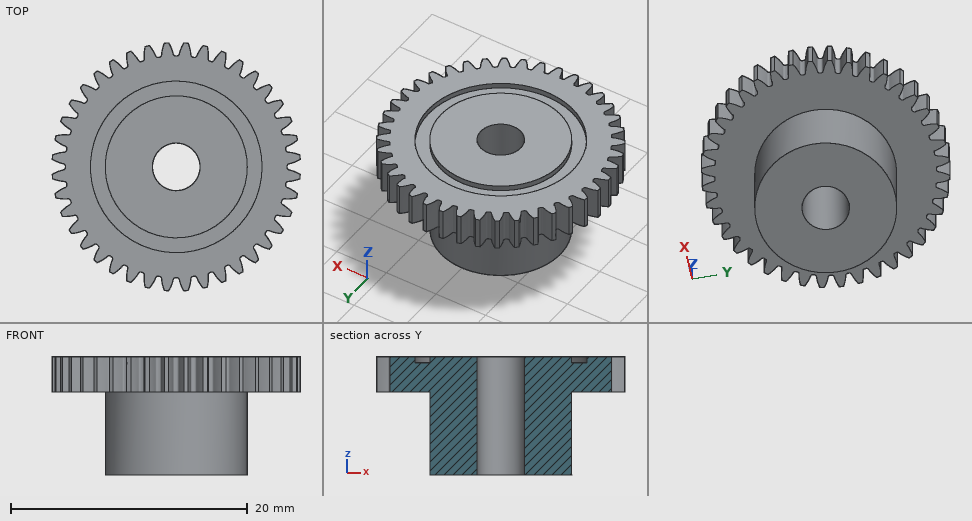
import cadquery as cq
import math

module = 0.5
tooth_count = 40
pressure_angle = math.radians(20)
addendum = module
dedendum = 1.25 * module
root_fillet = 0.38 * module
gear_thickness = 3.0
flank_points = 6

hub_diameter = 12.0
hub_length = 7.0
bore_diameter = 4.0
groove_outer_diameter = 14.5
groove_depth = 0.5

total_height = hub_length + gear_thickness

pitch_radius = module * tooth_count / 2
base_radius = pitch_radius * math.cos(pressure_angle)
tip_radius = pitch_radius + addendum
root_radius = pitch_radius - dedendum
tooth_pitch = 2 * math.pi / tooth_count


def involute_angle(angle):
    """Polar angle an involute has swept where its pressure angle is `angle`."""
    return math.tan(angle) - angle


base_half_angle = tooth_pitch / 4 + involute_angle(pressure_angle)


def angle_at_radius(radius):
    """Half the tooth angle at a radius on the involute."""
    return base_half_angle - involute_angle(math.acos(base_radius / radius))


def polar(radius, angle):
    """X and Y of a point given by radius and angle."""
    return (radius * math.cos(angle), radius * math.sin(angle))


fillet_centre_radius = root_radius + root_fillet
fillet_centre_angle = angle_at_radius(fillet_centre_radius) + root_fillet / base_radius
flank_start_length = math.sqrt(fillet_centre_radius**2 - base_radius**2) - root_fillet
flank_start_radius = math.hypot(base_radius, flank_start_length)


def fillet_middle():
    """Radius and angle of the point halfway along the root fillet."""
    centre_x, centre_y = polar(fillet_centre_radius, fillet_centre_angle)
    flank_x, flank_y = polar(flank_start_radius, angle_at_radius(flank_start_radius))
    flank_direction = math.atan2(flank_y - centre_y, flank_x - centre_x)
    root_direction = fillet_centre_angle - math.pi
    direction = (flank_direction + root_direction) / 2
    x = centre_x + root_fillet * math.cos(direction)
    y = centre_y + root_fillet * math.sin(direction)
    return math.hypot(x, y), math.atan2(y, x)


def gear_blank():
    """Toothed disc, solid through its middle, with a tooth gap on the X axis."""
    middle_radius, middle_angle = fillet_middle()
    radius_step = (tip_radius - flank_start_radius) / (flank_points - 1)
    flank_radii = [flank_start_radius + i * radius_step for i in range(flank_points)]

    outline = cq.Workplane("XY", origin=(0, 0, hub_length))
    outline = outline.moveTo(*polar(root_radius, 0))
    for tooth in range(tooth_count):
        centre = (tooth + 0.5) * tooth_pitch
        gap_before = centre - tooth_pitch / 2
        gap_after = centre + tooth_pitch / 2
        root_before = centre - fillet_centre_angle
        root_after = centre + fillet_centre_angle
        rising = [polar(r, centre - angle_at_radius(r)) for r in flank_radii]
        falling = [polar(r, centre + angle_at_radius(r)) for r in reversed(flank_radii)]

        outline = outline.threePointArc(
            polar(root_radius, (gap_before + root_before) / 2), polar(root_radius, root_before)
        )
        outline = outline.threePointArc(polar(middle_radius, centre - middle_angle), rising[0])
        outline = outline.spline(rising[1:], includeCurrent=True)
        outline = outline.threePointArc(polar(tip_radius, centre), falling[0])
        outline = outline.spline(falling[1:], includeCurrent=True)
        outline = outline.threePointArc(
            polar(middle_radius, centre + middle_angle), polar(root_radius, root_after)
        )
        outline = outline.threePointArc(
            polar(root_radius, (root_after + gap_after) / 2), polar(root_radius, gap_after)
        )
    return outline.close().extrude(gear_thickness)


def hub():
    """Plain cylinder from the base up to the gear's underside."""
    return cq.Workplane("XY").circle(hub_diameter / 2).extrude(hub_length)


def face_groove():
    """Ring sunk into the gear's top face around a pad as wide as the hub."""
    plane = cq.Workplane("XY", origin=(0, 0, total_height - groove_depth))
    return plane.circle(groove_outer_diameter / 2).circle(hub_diameter / 2).extrude(groove_depth)


def bore():
    """Cylinder removed along the whole axis."""
    return cq.Workplane("XY").circle(bore_diameter / 2).extrude(total_height)


result = gear_blank().union(hub()).cut(face_groove()).cut(bore())